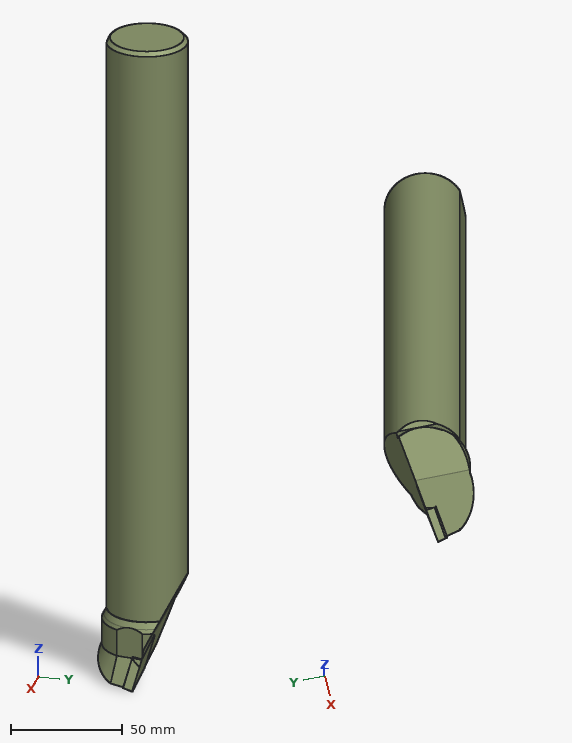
import cadquery as cq
import math

length = 306.0
shank_radius = 18.5
shank_flat_y = -17.0
shank_bottom_z = 30.5
end_chamfer = 1.8

head_axis_x = 1.5
head_radius = 20.0
collar_top_radius = 17.5
collar_mid_radius = 19.0
collar_mid_z = 28.0
collar_bottom_z = 26.0
flare_start_z = 13.5
flare_angle = 25.0

tip_x = 27.2
tip_z = 0.18
lead_angle = 27.4
seat_setback = 0.3
heel_x = 1.5
back_edge_z = 32.7
side_flat_x = 20.2
side_flat_y = -3.0
side_flat_turn = 9.0

rake_x_slope = -0.1
rake_z_slope = 0.17
runout_z = 30.5
runout_y = 9.8
runout_top_z = 47.7

insert_side = 16.5
insert_angle = 35.0
insert_thickness = 4.5
insert_relief = 5.0
nose_radius = 0.5

reach = 91.8
flare_slope = math.tan(math.radians(flare_angle))
nose_gap = nose_radius * (1 / math.sin(math.radians(insert_angle / 2)) - 1)


def xz_prism(points):
    """Prism through the whole head, with its outline in the XZ plane."""
    return cq.Workplane("XZ").polyline(points).close().extrude(reach, both=True)


def make_shank():
    height = length - shank_bottom_z
    shank = cq.Workplane("XY").workplane(offset=shank_bottom_z).circle(shank_radius).extrude(height)
    shank = shank.faces(">Z").chamfer(end_chamfer)
    flat_cut = cq.Workplane("XY").box(reach, reach, 2 * length).translate((0, shank_flat_y - reach / 2, 0))
    return shank.cut(flat_cut)


def make_head():
    flare_bottom_radius = head_radius + flare_start_z * flare_slope
    profile = [
        (0, 0),
        (flare_bottom_radius, 0),
        (head_radius, flare_start_z),
        (head_radius, collar_bottom_z),
        (collar_mid_radius, collar_mid_z),
        (collar_top_radius, shank_bottom_z),
        (0, shank_bottom_z),
    ]
    head = cq.Workplane("XZ").polyline(profile).close().revolve(360, (0, 0, 0), (0, 1, 0))
    return head.translate((head_axis_x, 0, 0))


def make_lower_cut():
    """Removes everything behind the back face and below the lower face."""
    slope = math.tan(math.radians(lead_angle))
    heel_z = tip_z + seat_setback + (tip_x - heel_x) * slope
    back_slope = (back_edge_z - heel_z) / (heel_x + shank_radius)
    return xz_prism([
        (heel_x, heel_z),
        (heel_x + reach, heel_z - reach * slope),
        (heel_x - reach, heel_z - reach * slope),
        (heel_x - reach, heel_z + reach * back_slope),
    ])


def make_side_cut():
    """Flattens the +X side of the head, following its flare."""
    cut = xz_prism([
        (0, shank_bottom_z),
        (0, flare_start_z),
        (flare_start_z * flare_slope, 0),
        (reach, 0),
        (reach, shank_bottom_z),
    ])
    return cut.rotate((0, 0, 0), (0, 0, 1), -side_flat_turn).translate((side_flat_x, side_flat_y, 0))


def make_rake_plane():
    return cq.Plane(
        origin=(tip_x, 0, tip_z),
        xDir=(-1, rake_z_slope - rake_x_slope, 1),
        normal=(-rake_x_slope, 1, -rake_z_slope),
    )


def make_rake_cut():
    """Material above the rake face, limited upwards by the runout."""
    above_rake = cq.Workplane(make_rake_plane()).rect(2 * reach, 2 * reach).extrude(reach)
    runout_slope = (shank_radius - runout_y) / (runout_top_z - runout_z)
    below_runout = (
        cq.Workplane("YZ")
        .polyline([
            (runout_y - reach * runout_slope, runout_z - reach),
            (runout_y + reach * runout_slope, runout_z + reach),
            (reach, runout_z - reach),
        ])
        .close()
        .extrude(reach, both=True)
    )
    return above_rake.intersect(below_runout)


def make_insert():
    half_length = insert_side * math.cos(math.radians(insert_angle / 2))
    half_width = insert_side * math.sin(math.radians(insert_angle / 2))
    outline = [
        (-nose_gap, 0),
        (half_length - nose_gap, half_width),
        (2 * half_length - nose_gap, 0),
        (half_length - nose_gap, -half_width),
    ]
    rhombus = cq.Sketch().polygon(outline + outline[:1]).vertices("<X or >X").fillet(nose_radius)
    return cq.Workplane(make_rake_plane()).placeSketch(rhombus).extrude(-insert_thickness, taper=insert_relief)


insert = make_insert()
holder = (
    make_shank()
    .union(make_head().cut(make_side_cut()))
    .cut(make_lower_cut())
    .cut(make_rake_cut())
    .cut(insert)
)

result = cq.Compound.makeCompound([holder.val(), insert.val()])